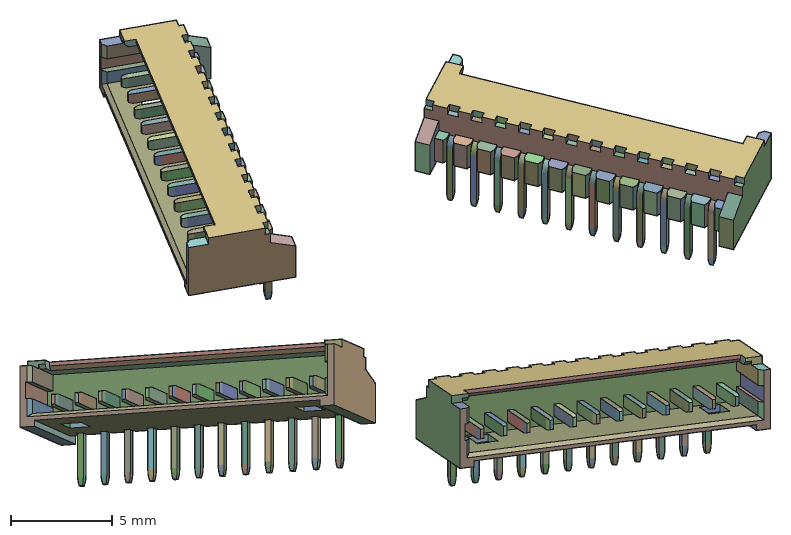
import cadquery as cq

length = 16.75
depth = 5.5
height = 3.48
x_left = -length / 2
x_right = length / 2

foot_width = 0.77
foot_height = 0.3
rim_z = 3.08
tab_front_y = 1.02
tab_width = 0.92
roof_front_y = 1.6
roof_back_y = 4.19
lug_slope_top_z = 2.5
lug_slope_end_z = 2.0
rear_wall_y = 4.79
rear_wall_z = 1.85

cavity_wall = 0.59
cavity_floor_z = 0.69
cavity_back_y = 2.93
mouth_chamfer = 0.22
floor_chamfer = 0.18
roof_chamfer = 0.2
key_bottom_z = 1.42
key_top_z = 2.26
left_key_wall = 0.28
right_key_wall = cavity_wall - mouth_chamfer

window_width = 1.1
window_front_y = 1.47
window_back_y = 2.7

contact_notch_width = 0.57
contact_notch_depth = 0.3
slot_flare_depth = 0.25
corner_notch_width = 0.44
corner_notch_depth = 0.25

contact_count = 12
pitch = 1.25
contact_width = 0.32
blade_bottom_z = 1.1
blade_top_z = 1.73
blade_tip_y = 0.7
leg_thickness = 0.35
leg_back_y = 4.64
leg_tip_z = -2.31
bend_radius = 0.54
tip_length = 0.3
leg_tip_length = 0.52
tip_inset = 0.07
contact_xs = [(i - (contact_count - 1) / 2) * pitch for i in range(contact_count)]


def box(x0, x1, y0, y1, z0, z1):
    return cq.Workplane("XY").box(x1 - x0, y1 - y0, z1 - z0, centered=False).translate((x0, y0, z0))


def side_prism(points, x0, x1):
    """Extrude a (y, z) outline from x0 to x1."""
    return cq.Workplane("YZ", origin=(x0, 0, 0)).polyline(points).close().extrude(x1 - x0)


def plan_prism(points, z0, z1):
    """Extrude an (x, y) outline from z0 to z1."""
    return cq.Workplane("XY", origin=(0, 0, z0)).polyline(points).close().extrude(z1 - z0)


def make_shell():
    end_profile = [
        (0, 0), (depth, 0), (depth, lug_slope_end_z), (roof_back_y, lug_slope_top_z),
        (roof_back_y, height), (tab_front_y, height), (tab_front_y, rim_z), (0, rim_z),
    ]
    shell = side_prism(end_profile, x_left, x_right)
    inner_left = x_left + foot_width
    inner_right = x_right - foot_width
    shell = shell.cut(box(inner_left, inner_right, 0, depth, 0, foot_height))
    shell = shell.cut(box(inner_left, inner_right, rear_wall_y, depth, 0, height))
    return shell.cut(box(inner_left, inner_right, roof_back_y, depth, rear_wall_z, height))


def make_cavity():
    left = x_left + cavity_wall
    right = x_right - cavity_wall
    cavity = box(left, right, 0, cavity_back_y, cavity_floor_z, rim_z)
    cavity = cavity.union(box(left, right, 0, tab_front_y, rim_z, height))
    cavity = cavity.union(
        box(x_left + tab_width, x_right - tab_width, 0, roof_front_y, rim_z, height))
    cavity = cavity.union(box(
        x_left + left_key_wall, x_right - right_key_wall, 0, cavity_back_y, key_bottom_z, key_top_z))
    return cavity.union(make_mouth_chamfers(left, right))


def make_mouth_chamfers(left, right):
    side_flare = plan_prism([
        (left - mouth_chamfer, 0), (right + mouth_chamfer, 0),
        (right, mouth_chamfer), (left, mouth_chamfer),
    ], cavity_floor_z - floor_chamfer, rim_z)
    floor_flare = side_prism([
        (0, cavity_floor_z - floor_chamfer), (mouth_chamfer, cavity_floor_z),
        (mouth_chamfer, rim_z), (0, rim_z),
    ], left - mouth_chamfer, right + mouth_chamfer)
    chamfers = side_flare.intersect(floor_flare)
    roof_edges = [(left, right, tab_front_y), (x_left + tab_width, x_right - tab_width, roof_front_y)]
    for x0, x1, edge_y in roof_edges:
        chamfers = chamfers.union(side_prism(
            [(edge_y, rim_z), (edge_y + roof_chamfer, rim_z), (edge_y, rim_z + roof_chamfer)], x0, x1))
    return chamfers


def make_floor_windows():
    centre_x = (contact_xs[-1] + contact_xs[-2]) / 2
    half = window_width / 2
    right_window = box(
        centre_x - half, centre_x + half, window_front_y, window_back_y, 0, cavity_floor_z)
    return right_window.union(right_window.mirror("YZ"))


def make_rear_notches():
    corner_y = roof_back_y - corner_notch_depth
    notches = box(x_left, x_left + corner_notch_width, corner_y, roof_back_y, rim_z, height)
    notches = notches.union(notches.mirror("YZ"))
    half_notch = contact_notch_width / 2
    half_contact = contact_width / 2
    flare_y = rear_wall_y - slot_flare_depth
    notch_y = roof_back_y - contact_notch_depth
    for x in contact_xs:
        roof_notch = box(x - half_notch, x + half_notch, notch_y, roof_back_y, rim_z, height)
        leg_slot = plan_prism([
            (x - half_contact, roof_back_y), (x + half_contact, roof_back_y),
            (x + half_contact, flare_y), (x + half_notch, rear_wall_y),
            (x - half_notch, rear_wall_y), (x - half_contact, flare_y),
        ], 0, rear_wall_z)
        notches = notches.union(roof_notch).union(leg_slot)
    return notches


def rounded_bar(plane, origin, low, high, root, start, tip):
    """Profile from root to tip whose two sides curve inward between start and tip."""
    middle = (start + tip) / 2
    draw_in = tip_inset / 4
    return (
        cq.Workplane(plane, origin=origin)
        .moveTo(low, root)
        .lineTo(low, start)
        .threePointArc((low + draw_in, middle), (low + tip_inset, tip))
        .lineTo(high - tip_inset, tip)
        .threePointArc((high - draw_in, middle), (high, start))
        .lineTo(high, root)
        .close()
    )


def make_contact():
    half = contact_width / 2
    leg_front_y = leg_back_y - leg_thickness
    blade_start = blade_tip_y + tip_length
    leg_start = leg_tip_z + leg_tip_length
    blade_plan = rounded_bar(
        "XY", (0, 0, blade_bottom_z), -half, half, leg_back_y, blade_start, blade_tip_y,
    ).extrude(blade_top_z - blade_bottom_z)
    blade_side = rounded_bar(
        "ZY", (half, 0, 0), blade_bottom_z, blade_top_z, leg_back_y, blade_start, blade_tip_y,
    ).extrude(contact_width)
    blade = blade_plan.intersect(blade_side).edges("|X and >Y and >Z").fillet(bend_radius)
    leg_front = rounded_bar(
        "XZ", (0, leg_back_y, 0), -half, half, blade_bottom_z, leg_start, leg_tip_z,
    ).extrude(leg_thickness)
    leg_side = rounded_bar(
        "YZ", (-half, 0, 0), leg_front_y, leg_back_y, blade_bottom_z, leg_start, leg_tip_z,
    ).extrude(contact_width)
    return blade.union(leg_front.intersect(leg_side))


result = make_shell().cut(make_cavity()).cut(make_floor_windows()).cut(make_rear_notches())
contact = make_contact()
for contact_x in contact_xs:
    result = result.union(contact.translate((contact_x, 0, 0)))